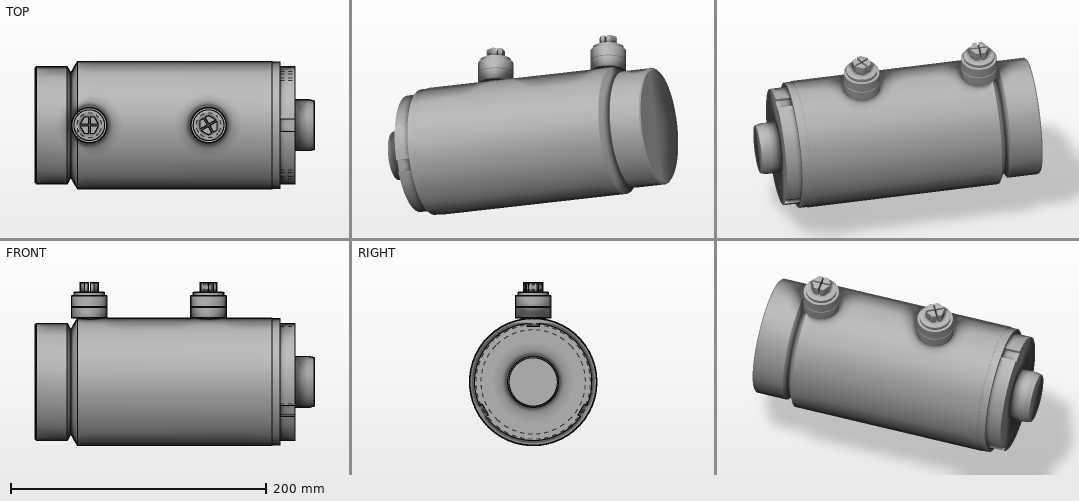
import cadquery as cq
import math


tube_radius = 100.0 / 2
base_radius = 46.0
joint_radius = 41.0
joint_x = 28.0
base_edge_chamfer = 1.0
weld_angle = 60.0
collar_step = 0.5
gland_collar_radius = tube_radius - collar_step
gland_nose_radius = base_radius
tube_end_x = 185.7
collar_end_x = 192.0
nose_end_x = 203.9

rod_end_x = 219.0
rod_radius = 40.0 / 2
rod_chamfer_length = 4.0
rod_chamfer_height = 1.0

slot_count = 3
slot_width = 9.9
slot_depth = 2.6

port_positions = [(42.5, 0.0), (136.0, 30.0)]
port_radius = 14.0
ring_height = 8.8
ring_chamfer = 0.33
neck_radius = 9.6
neck_depth = 1.3

flange_radius = 12.0
flange_height = 3.0
flange_chamfer_height = 0.5
flange_chamfer_width = 1.5
hex_across_flats = 13.1
total_height = 128.0
hex_top_z = total_height - tube_radius
cross_slot_width = 1.5

boss_bottom_z = tube_radius
cap_bottom_z = boss_bottom_z + ring_height
cap_top_z = cap_bottom_z + ring_height
flange_top_z = cap_top_z + flange_height


def turned(profile):
    """Revolve an (x, radius) outline about the X axis."""
    return cq.Workplane("XY").polyline(profile).close().revolve(360, (0, 0, 0), (1, 0, 0))


def cone_length(outer_radius):
    """Length along X of the V groove face that climbs to outer_radius."""
    return (outer_radius - joint_radius) / math.tan(math.radians(weld_angle))


def make_base():
    return turned([
        (0, 0),
        (0, base_radius - base_edge_chamfer),
        (base_edge_chamfer, base_radius),
        (joint_x - cone_length(base_radius), base_radius),
        (joint_x, joint_radius),
        (joint_x, 0),
    ])


def make_tube():
    return turned([
        (joint_x, 0),
        (joint_x, joint_radius),
        (joint_x + cone_length(tube_radius), tube_radius),
        (tube_end_x, tube_radius),
        (tube_end_x, 0),
    ])


def make_gland():
    gland = turned([
        (tube_end_x, 0),
        (tube_end_x, gland_collar_radius),
        (collar_end_x, gland_collar_radius),
        (collar_end_x, gland_nose_radius),
        (nose_end_x, gland_nose_radius),
        (nose_end_x, 0),
    ])
    slot = cq.Workplane("XY").box(
        nose_end_x - collar_end_x, slot_width, 2 * slot_depth
    ).translate(((collar_end_x + nose_end_x) / 2, 0, gland_nose_radius))
    for i in range(slot_count):
        gland = gland.cut(slot.rotate((0, 0, 0), (1, 0, 0), i * 360 / slot_count))
    return gland


def make_rod():
    return turned([
        (nose_end_x, 0),
        (nose_end_x, rod_radius),
        (rod_end_x - rod_chamfer_length, rod_radius),
        (rod_end_x, rod_radius - rod_chamfer_height),
        (rod_end_x, 0),
    ])


def make_ring(x, bottom_z):
    """Port disc with a small chamfer on both rims."""
    disc = cq.Workplane("XY", origin=(x, 0, bottom_z)).circle(port_radius).extrude(ring_height)
    return disc.faces("|Z").edges().chamfer(ring_chamfer)


def make_boss(x, tube):
    """Lower port ring with a neck saddled on the round tube."""
    neck = cq.Workplane("XY", origin=(x, 0, boss_bottom_z - neck_depth)).circle(neck_radius)
    return make_ring(x, boss_bottom_z).union(neck.extrude(neck_depth + ring_height / 2)).cut(tube)


def make_plug(x, turn):
    """Flange with a hexagonal head split into four by a cross slot."""
    flange = (
        cq.Workplane("XY", origin=(x, 0, cap_top_z))
        .circle(flange_radius)
        .extrude(flange_height)
        .faces(">Z").edges()
        .chamfer(flange_chamfer_height, flange_chamfer_width)
    )
    across_corners = hex_across_flats / math.cos(math.radians(30))
    head_height = hex_top_z - flange_top_z
    on_flange = cq.Workplane("XY", origin=(x, 0, flange_top_z))
    head = on_flange.polygon(6, across_corners).extrude(head_height)
    for length, width in [(across_corners, cross_slot_width), (cross_slot_width, across_corners)]:
        head = head.cut(on_flange.rect(length, width).extrude(head_height))
    return flange.union(head).rotate((x, 0, 0), (x, 0, 1), turn)


base = make_base()
tube = make_tube()
gland = make_gland()
rod = make_rod()

bosses = []
caps = []
plugs = []
for port_x, plug_turn in port_positions:
    bosses.append(make_boss(port_x, tube).val())
    caps.append(make_ring(port_x, cap_bottom_z).val())
    plugs.append(make_plug(port_x, plug_turn).val())

result = cq.Compound.makeCompound(
    [base.val(), tube.val(), gland.val(), rod.val(), *bosses, *caps, *plugs]
)